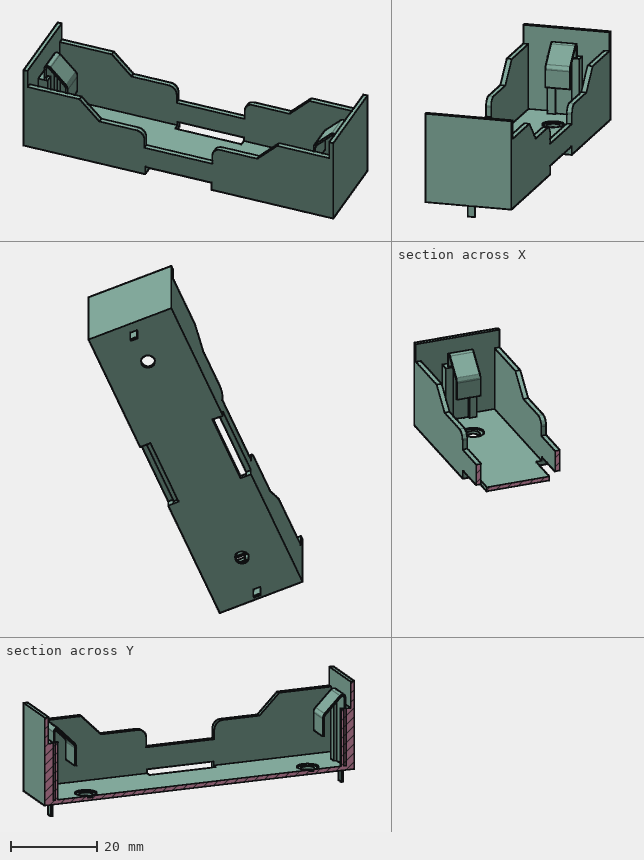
import cadquery as cq
import math

length = 77.7
width = 20.9
end_wall_height = 21.4
end_wall_thickness = 1.0
side_wall_thickness = 1.25
floor_thickness = 1.2

shoulder_height = 16.85
step_height = 11.9
saddle_height = 7.45
ramp_run = shoulder_height - step_height
ramp_foot_x = 19.8
saddle_half_length = 8.55
step_corner_radius = 2.0

opening_half_length = 8.3
opening_height = 2.1
opening_depth = 2.65

left_hole_x = -27.5
right_hole_x = 28.1
hole_diameter = 3.2
counterbore_diameter = 5.05
counterbore_depth = 0.4

strip_thickness = 0.5
strip_width = 5.9
strip_inset = 2.2
strip_top = 18.5
top_bend_radius = 0.85
leg_inset = 8.0
leg_bottom = 8.85
leg_bend_radius = 1.6
bend_angle = 45.0
pin_width = 1.7
pin_drop = 3.3

guide_width = 7.8
guide_inset = 3.35
guide_height = 15.0
guide_window_width = 4.05

half_length = length / 2
half_width = width / 2


def box(x_min, x_max, y_min, y_max, z_min, z_max):
    """Axis-aligned box given by its limits."""
    size = (x_max - x_min, y_max - y_min, z_max - z_min)
    return cq.Workplane("XY").box(*size, centered=False).translate((x_min, y_min, z_min))


def at_both_ends(left_shape):
    """The shape at the -X end together with its mirror image at the +X end."""
    return [left_shape, left_shape.mirror("YZ")]


def side_walls():
    """Two walls with a ramped, stepped top edge and a low saddle in the middle."""
    arc_start_x = saddle_half_length + step_corner_radius
    arc_end_z = step_height - step_corner_radius
    diagonal = step_corner_radius * math.sqrt(0.5)
    arc_middle = (arc_start_x - diagonal, arc_end_z + diagonal)
    half_outline = (
        cq.Workplane("XZ", origin=(0, half_width, 0))
        .moveTo(0, 0)
        .lineTo(0, saddle_height)
        .lineTo(saddle_half_length, saddle_height)
        .lineTo(saddle_half_length, arc_end_z)
        .threePointArc(arc_middle, (arc_start_x, step_height))
        .lineTo(ramp_foot_x, step_height)
        .lineTo(ramp_foot_x + ramp_run, shoulder_height)
        .lineTo(half_length, shoulder_height)
        .lineTo(half_length, 0)
        .close()
    )
    half_wall = half_outline.extrude(side_wall_thickness)
    back_wall = half_wall.union(half_wall.mirror("YZ"))
    return back_wall.union(back_wall.mirror("XZ"))


def guide_block():
    """Block at the -X end, with a window that leaves a lip on each side of the strip."""
    front_x = guide_inset - half_length
    strip_front_x = strip_inset + strip_thickness - half_length
    half_guide = guide_width / 2
    half_window = guide_window_width / 2
    block = box(-half_length, front_x, -half_guide, half_guide, 0, guide_height)
    window = box(strip_front_x, front_x, -half_window, half_window, floor_thickness, guide_height)
    return block.cut(window)


def mounting_hole(hole_x):
    """Cutter for a counterbored hole through the floor."""
    bore = cq.Workplane("XY").circle(hole_diameter / 2).extrude(floor_thickness)
    counterbore = (
        cq.Workplane("XY", origin=(0, 0, floor_thickness - counterbore_depth))
        .circle(counterbore_diameter / 2)
        .extrude(counterbore_depth)
    )
    return bore.union(counterbore).translate((hole_x, 0, 0))


def fixed_strip():
    """Upright strip at the -X end that narrows to a solder pin below the floor's top face."""
    back_x = strip_inset - half_length
    front_x = back_x + strip_thickness
    half_strip = strip_width / 2
    half_pin = pin_width / 2
    bend_z = strip_top - top_bend_radius
    strip = box(back_x, front_x, -half_strip, half_strip, floor_thickness, bend_z)
    pin = box(back_x, front_x, -half_pin, half_pin, -pin_drop, floor_thickness)
    return strip.union(pin)


def spring_arm():
    """Folded-over top of the strip: bend, sloping arm, second bend and hanging free leg."""
    slope = math.radians(bend_angle)
    bend_x = strip_inset + top_bend_radius - half_length
    bend_z = strip_top - top_bend_radius
    leg_bend_x = leg_inset - leg_bend_radius - half_length

    radius_change = leg_bend_radius - top_bend_radius
    tangent_run = leg_bend_x - bend_x + radius_change * math.sin(slope)
    leg_bend_z = bend_z - tangent_run * math.tan(slope) - radius_change * math.cos(slope)

    def on_top_bend(inward, angle):
        radius = top_bend_radius - inward
        return (bend_x + radius * math.cos(angle), bend_z + radius * math.sin(angle))

    def on_leg_bend(inward, angle):
        radius = leg_bend_radius - inward
        return (leg_bend_x + radius * math.cos(angle), leg_bend_z + radius * math.sin(angle))

    slope_normal = math.pi / 2 - slope
    top_middle = (math.pi + slope_normal) / 2
    leg_middle = slope_normal / 2
    leg_front_x = leg_inset - half_length
    outline = (
        cq.Workplane("XZ", origin=(0, strip_width / 2, 0))
        .moveTo(*on_top_bend(0, math.pi))
        .threePointArc(on_top_bend(0, top_middle), on_top_bend(0, slope_normal))
        .lineTo(*on_leg_bend(0, slope_normal))
        .threePointArc(on_leg_bend(0, leg_middle), on_leg_bend(0, 0))
        .lineTo(leg_front_x, leg_bottom)
        .lineTo(leg_front_x - strip_thickness, leg_bottom)
        .lineTo(*on_leg_bend(strip_thickness, 0))
        .threePointArc(on_leg_bend(strip_thickness, leg_middle), on_leg_bend(strip_thickness, slope_normal))
        .lineTo(*on_top_bend(strip_thickness, slope_normal))
        .threePointArc(on_top_bend(strip_thickness, top_middle), on_top_bend(strip_thickness, math.pi))
        .close()
    )
    return outline.extrude(strip_width)


def make_housing():
    """Open-topped tray with guide blocks, wall openings, mounting holes and contact slots."""
    housing = box(-half_length, half_length, -half_width, half_width, 0, floor_thickness)
    housing = housing.union(side_walls())
    end_wall_inner_x = end_wall_thickness - half_length
    end_wall = box(-half_length, end_wall_inner_x, -half_width, half_width, 0, end_wall_height)
    for end_feature in (end_wall, guide_block()):
        for shape in at_both_ends(end_feature):
            housing = housing.union(shape)

    opening = box(
        -opening_half_length, opening_half_length,
        half_width - opening_depth, half_width,
        0, opening_height,
    )
    housing = housing.cut(opening).cut(opening.mirror("XZ"))

    for hole_x in (left_hole_x, right_hole_x):
        housing = housing.cut(mounting_hole(hole_x))
    for contact_slot in at_both_ends(fixed_strip()):
        housing = housing.cut(contact_slot)
    return housing


housing = make_housing()
contacts = at_both_ends(fixed_strip().union(spring_arm()))

result = cq.Compound.makeCompound([housing.val(), *[contact.val() for contact in contacts]])